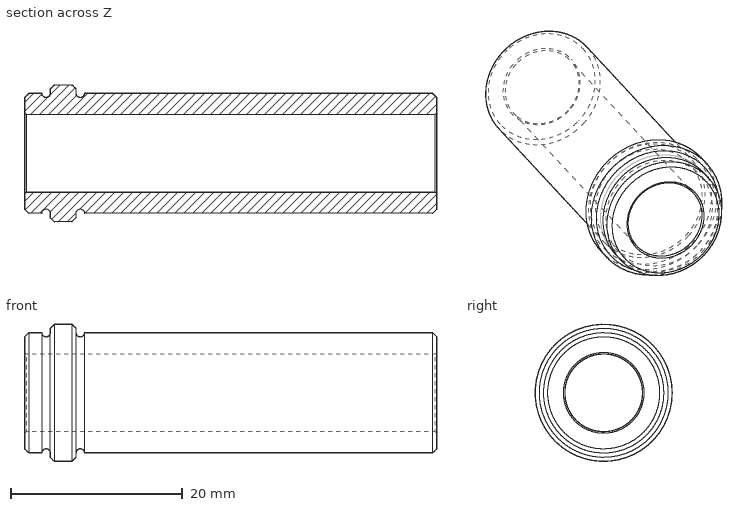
import cadquery as cq

length = 48.0
body_radius = 14.0 / 2
flange_radius = 16.0 / 2
bore_radius = 9.0 / 2
flange_start = 3.0
flange_end = 6.0
groove_radius = 0.5
edge_chamfer = 0.5
bore_chamfer = 0.2


def cylinder(radius, start, end):
    """Solid cylinder along X between two positions."""
    return cq.Workplane("YZ", origin=(start, 0, 0)).circle(radius).extrude(end - start)


def relief_groove(center_x):
    """Ring of round section, centred on the body surface."""
    return (
        cq.Workplane("XY")
        .center(center_x, body_radius)
        .circle(groove_radius)
        .revolve(360, (0, -body_radius, 0), (1, -body_radius, 0))
    )


body = cylinder(body_radius, 0, length).faces("<X or >X").edges().chamfer(edge_chamfer)
for groove_center in (flange_start - groove_radius, flange_end + groove_radius):
    body = body.cut(relief_groove(groove_center))

flange = cylinder(flange_radius, flange_start, flange_end)
flange = flange.faces("<X or >X").edges().chamfer(edge_chamfer)

bore = cylinder(bore_radius, 0, length)
sleeve = body.union(flange).cut(bore)
result = sleeve.faces("<X or >X").edges(cq.selectors.RadiusNthSelector(0)).chamfer(bore_chamfer)